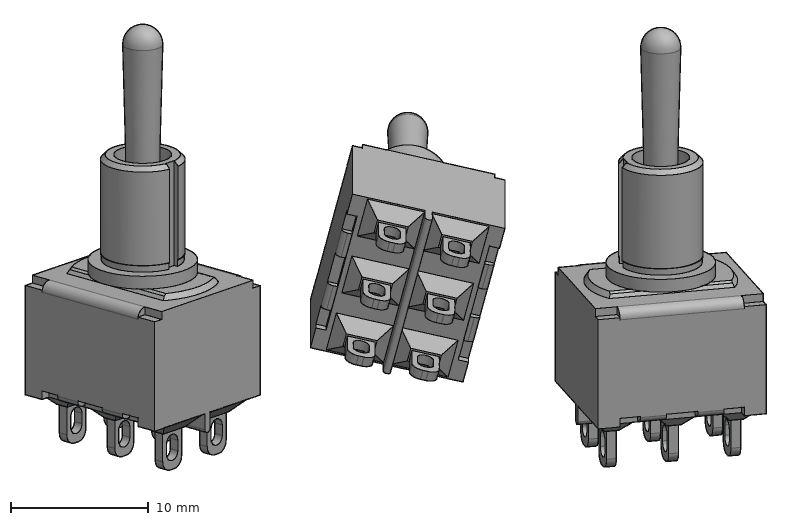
import cadquery as cq
import math


length_x = 12.7
width_y = 11.43
overall_height = 32.29
housing_top = 8.97
cover_width = 9.4
cover_thickness = 0.76
cover_bend_radius = cover_thickness
cover_bottom = 0.66
corner_top = 8.37

tab_width = 1.98
tab_spacing = 4.35
tab_bottom = 0.15
tab_radius = 0.43

plate_radius = 5.6
plate_width = 5.98
plate_top = 9.4
plate_inset = 0.3
plate_bevel_bottom = 9.25
plate_bevel_width = 0.2

washer_diameter = 7.98
washer_top = 10.38
bushing_diameter = 6.17
bushing_top = 18.4
bushing_chamfer = 0.35
relief_diameter = 6.05
relief_top = 10.88
bore_diameter = 4.2
keyway_width = 0.9
keyway_floor = 2.67

lever_top = 28.29
lever_tip_radius = 1.47
lever_root_radius = 1.25
ball_radius = bore_diameter / 2
ball_center = washer_top

rib_thickness = 0.55
rib_bottom = -1.48

terminal_pitch_x = 4.7
terminal_spacing_y = 4.82
terminal_thickness = 0.75
terminal_width = 2.06
terminal_bottom = lever_top - overall_height
terminal_corner_radius = 1.65 / 2
eye_width = 1.2
eye_length = 2.0
eye_center = -2.31
collar_height = 1.0
collar_slope = 45
collar_top_x = 3.05
collar_top_y = 4.3


def box(size_x, size_y, bottom, top, x=0, y=0):
    """Box centred on (x, y) between two Z levels."""
    return cq.Workplane("XY", origin=(x, y, bottom)).box(
        size_x, size_y, top - bottom, centered=(True, True, False)
    )


def make_housing():
    housing = box(length_x, width_y, 0, housing_top)
    side_y = (width_y - cover_thickness) / 2
    corner_length = (length_x - cover_width) / 2
    corner_x = (length_x - corner_length) / 2
    for side in (-1, 1):
        y = side * side_y
        for end in (-1, 1):
            housing = housing.cut(
                box(corner_length, cover_thickness, corner_top, housing_top, end * corner_x, y)
            )
        housing = housing.cut(box(cover_width, cover_thickness, 0, cover_bottom, y=y))
        housing = housing.cut(make_bend_waste(side))
        for end in (-1, 1):
            housing = housing.union(make_tab(end * tab_spacing / 2, side))
    return housing


def make_bend_waste(side):
    """Material outside the rounded upper edge of a cover flap."""
    bend_y = side * (width_y / 2 - cover_bend_radius)
    bend_z = housing_top - cover_bend_radius
    waste_y = side * (width_y - cover_bend_radius) / 2
    waste = box(cover_width, cover_bend_radius, bend_z, housing_top, y=waste_y)
    bend = (
        cq.Workplane("YZ", origin=(-cover_width / 2, bend_y, bend_z))
        .circle(cover_bend_radius)
        .extrude(cover_width)
    )
    return waste.cut(bend)


def make_tab(x, side):
    """Tab bent inwards below a flap, with a rounded outer lower edge."""
    y = side * (width_y - cover_thickness) / 2
    outer_edge = ">Y" if side > 0 else "<Y"
    return (
        box(tab_width, cover_thickness, tab_bottom, cover_bottom, x, y)
        .faces("<Z")
        .edges(outer_edge)
        .fillet(tab_radius)
    )


def make_plate():
    """Raised plate with two straight sides, two round ends and sloped flanks."""
    height = plate_top - housing_top
    slope_angle = math.degrees(math.atan(plate_inset / height))
    half_width = plate_width / 2
    end_x = math.sqrt(plate_radius**2 - half_width**2)
    plate = (
        cq.Workplane("XY", origin=(0, 0, housing_top))
        .moveTo(-end_x, -half_width)
        .lineTo(end_x, -half_width)
        .threePointArc((plate_radius, 0), (end_x, half_width))
        .lineTo(-end_x, half_width)
        .threePointArc((-plate_radius, 0), (-end_x, -half_width))
        .close()
        .extrude(height, taper=slope_angle)
    )
    bevel_outer_y = half_width - plate_inset * (plate_bevel_bottom - housing_top) / height
    bevel = (
        cq.Workplane("YZ", origin=(-plate_radius, 0, 0))
        .moveTo(bevel_outer_y, plate_bevel_bottom)
        .lineTo(bevel_outer_y, plate_top)
        .lineTo(bevel_outer_y - plate_bevel_width, plate_top)
        .close()
        .extrude(2 * plate_radius)
    )
    return plate.cut(bevel).cut(bevel.mirror("XZ"))


def make_bushing():
    """Washer and bushing with its bore, bottoming at the widest level of the pivot ball."""
    washer = cq.Workplane("XY", origin=(0, 0, plate_top)).circle(washer_diameter / 2)
    washer = washer.extrude(washer_top - plate_top)
    relief = cq.Workplane("XY", origin=(0, 0, washer_top)).circle(relief_diameter / 2)
    relief = relief.extrude(relief_top - washer_top)
    barrel = cq.Workplane("XY", origin=(0, 0, relief_top)).circle(bushing_diameter / 2)
    barrel = barrel.extrude(bushing_top - relief_top).faces(">Z").edges().chamfer(bushing_chamfer)
    bore = cq.Workplane("XY", origin=(0, 0, ball_center)).circle(bore_diameter / 2)
    bore = bore.extrude(bushing_top - ball_center)
    keyway_depth = bushing_diameter / 2 - keyway_floor
    keyway = box(
        keyway_depth, keyway_width, washer_top, bushing_top, keyway_floor + keyway_depth / 2
    )
    return washer.union(relief).union(barrel).cut(bore).cut(keyway)


def make_lever():
    """Tapered lever with a round tip, growing out of the upper half of the pivot ball."""
    tip_z = lever_top - lever_tip_radius
    taper = (lever_tip_radius - lever_root_radius) / (tip_z - bushing_top)
    foot_radius = lever_root_radius - taper * (bushing_top - ball_center)
    tip_middle = lever_tip_radius * math.sqrt(0.5)
    lever = (
        cq.Workplane("XZ")
        .moveTo(0, ball_center)
        .lineTo(foot_radius, ball_center)
        .lineTo(lever_tip_radius, tip_z)
        .threePointArc((tip_middle, tip_z + tip_middle), (0, lever_top))
        .close()
        .revolve(360, (0, 0, 0), (0, 1, 0))
    )
    ball_middle = ball_radius * math.sqrt(0.5)
    dome = (
        cq.Workplane("XZ")
        .moveTo(0, ball_center)
        .lineTo(ball_radius, ball_center)
        .threePointArc((ball_middle, ball_center + ball_middle), (0, ball_center + ball_radius))
        .close()
        .revolve(360, (0, 0, 0), (0, 1, 0))
    )
    return lever.union(dome)


def make_rib():
    """Divider between the terminal rows, rounded along its lower edge."""
    radius = rib_thickness / 2
    web = box(length_x, rib_thickness, rib_bottom + radius, 0)
    edge = (
        cq.Workplane("YZ", origin=(-length_x / 2, 0, rib_bottom + radius))
        .circle(radius)
        .extrude(length_x)
    )
    return web.union(edge)


def make_terminal(x, y):
    """Solder lug with an eye and a tapered collar where it leaves the housing."""
    lug = (
        box(terminal_thickness, terminal_width, terminal_bottom, 0, x, y)
        .faces("<Z")
        .edges("|X")
        .fillet(terminal_corner_radius)
    )
    eye = (
        cq.Workplane("YZ", origin=(x - terminal_thickness / 2, y, eye_center))
        .slot2D(eye_length, eye_width, 90)
        .extrude(terminal_thickness)
    )
    collar = (
        cq.Workplane("XY", origin=(x, y, 0))
        .rect(collar_top_x, collar_top_y)
        .extrude(-collar_height, taper=collar_slope)
    )
    return lug.cut(eye).union(collar)


result = make_housing()
for feature in (make_plate(), make_bushing(), make_lever(), make_rib()):
    result = result.union(feature)
for column in (-1, 0, 1):
    for row in (-0.5, 0.5):
        result = result.union(make_terminal(column * terminal_pitch_x, row * terminal_spacing_y))